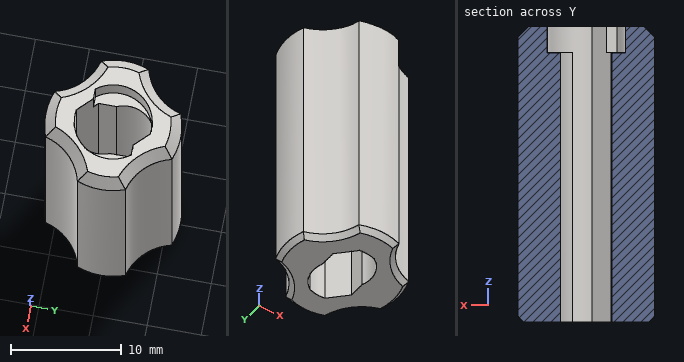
import cadquery as cq
import math

length = 26.88
outer_diameter = 12.5
flute_radius = 5.0
flute_floor_distance = 5.0
flute_count = 4
flute_start_angle = 45
top_chamfer = 1.0
bottom_chamfer = 0.5

bore_diameter = 7.1
stop_flat_distance = 2.85
key_half_width = 2.25
side_wall_end_y = 0.1
bulge_x = 2.42
bulge_y = -1.6
bulge_end_x = 1.24

pocket_depth = 2.4
pocket_shoulder_y = 2.18

outer_radius = outer_diameter / 2
bore_radius = bore_diameter / 2
flat_sum = stop_flat_distance * math.sqrt(2)


def circle_partner(coordinate):
    """Other coordinate of a point on the bore circle."""
    return math.sqrt(bore_radius**2 - coordinate**2)


def opposite(point):
    """The point turned half a turn about the part axis."""
    return (-point[0], -point[1])


half_chord = circle_partner(stop_flat_distance)
flat_start_x = (stop_flat_distance - half_chord) / math.sqrt(2)
flat_start = (flat_start_x, flat_sum - flat_start_x)


def fluted_body():
    flute_centre_distance = flute_floor_distance + flute_radius
    flutes = (
        cq.Workplane("XY")
        .polarArray(flute_centre_distance, flute_start_angle, 360, flute_count)
        .circle(flute_radius)
        .extrude(length)
    )
    body = cq.Workplane("XY").circle(outer_radius).extrude(length).cut(flutes)
    body = body.faces(">Z").chamfer(top_chamfer)
    return body.faces("<Z").chamfer(bottom_chamfer)


def key_passage():
    """Through opening, the same after half a turn about the axis."""
    flat_end = (key_half_width, flat_sum - key_half_width)
    wall_end = (key_half_width, side_wall_end_y)
    bulge = (bulge_x, bulge_y)
    bulge_end = (bulge_end_x, -circle_partner(bulge_end_x))
    return (
        cq.Workplane("XY")
        .moveTo(*flat_start)
        .lineTo(*flat_end)
        .lineTo(*wall_end)
        .threePointArc(bulge, bulge_end)
        .threePointArc((0, -bore_radius), opposite(flat_start))
        .lineTo(*opposite(flat_end))
        .lineTo(*opposite(wall_end))
        .threePointArc(opposite(bulge), opposite(bulge_end))
        .threePointArc((0, bore_radius), flat_start)
        .close()
        .extrude(length)
    )


def top_pocket():
    """Bore circle less two corners, each cut off by a flat and a shoulder."""
    flat_end = (flat_sum - pocket_shoulder_y, pocket_shoulder_y)
    shoulder_end = (circle_partner(pocket_shoulder_y), pocket_shoulder_y)
    arc_middle = (bore_radius * math.sqrt(0.5), -bore_radius * math.sqrt(0.5))
    return (
        cq.Workplane("XY", origin=(0, 0, length - pocket_depth))
        .moveTo(*flat_start)
        .lineTo(*flat_end)
        .lineTo(*shoulder_end)
        .threePointArc(arc_middle, opposite(flat_start))
        .lineTo(*opposite(flat_end))
        .lineTo(*opposite(shoulder_end))
        .threePointArc(opposite(arc_middle), flat_start)
        .close()
        .extrude(pocket_depth)
    )


result = fluted_body().cut(key_passage()).cut(top_pocket())